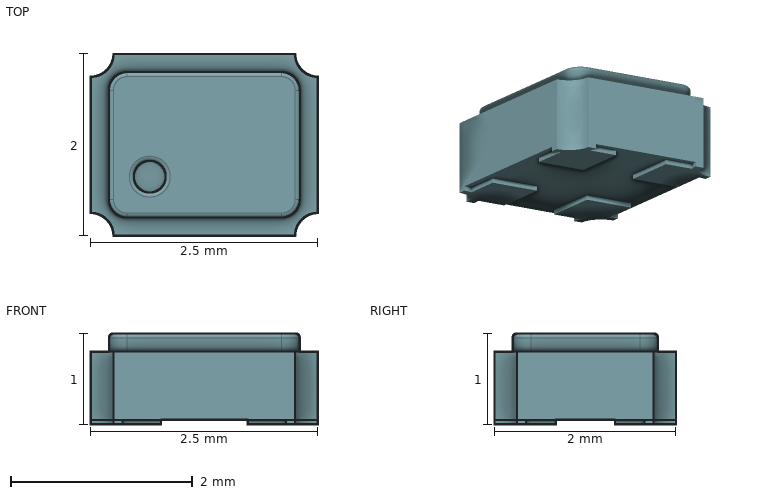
import cadquery as cq

length = 2.5
width = 2.0
height = 1.0

pad_thickness = 0.05
pad_reach_x = 0.775
pad_reach_y = 0.675
pad_rim = 0.1

notch_radius = 0.25
lid_height = 0.2
lid_margin = 0.2
lid_corner_radius = 0.2
lid_edge_radius = 0.05
base_height = height - pad_thickness - lid_height
base_top = pad_thickness + base_height

dimple_x = -0.6
dimple_y = -0.35
dimple_floor_radius = 0.175
dimple_depth = 0.05

corner_signs = [(-1, -1), (1, -1), (1, 1), (-1, 1)]


def corner_cylinder(sign_x, sign_y, radius, z_bottom, cylinder_height):
    """Upright cylinder centred on one corner of the housing rectangle."""
    return (
        cq.Workplane("XY")
        .workplane(offset=z_bottom)
        .center(sign_x * length / 2, sign_y * width / 2)
        .circle(radius)
        .extrude(cylinder_height)
    )


def make_base():
    """Rectangular block with a quarter-round notch down each corner."""
    base = cq.Workplane("XY").workplane(offset=pad_thickness).rect(length, width).extrude(base_height)
    for sign_x, sign_y in corner_signs:
        base = base.cut(corner_cylinder(sign_x, sign_y, notch_radius, pad_thickness, base_height))
    return base


def make_lid():
    """Raised top with round corners and a rounded upper edge."""
    return (
        cq.Workplane("XY")
        .workplane(offset=base_top)
        .rect(length - 2 * lid_margin, width - 2 * lid_margin)
        .extrude(lid_height)
        .edges("|Z")
        .fillet(lid_corner_radius)
        .faces(">Z")
        .edges()
        .fillet(lid_edge_radius)
    )


def make_dimple():
    """Cutter for the dimple: a flat floor whose wall flares out in a convex quarter round."""
    rim_radius = dimple_floor_radius + dimple_depth
    arc_offset = dimple_depth * 0.5 ** 0.5
    profile = (
        cq.Workplane("XZ")
        .moveTo(0, -dimple_depth)
        .lineTo(dimple_floor_radius, -dimple_depth)
        .threePointArc((rim_radius - arc_offset, arc_offset - dimple_depth), (rim_radius, 0))
        .lineTo(0, 0)
        .close()
    )
    return profile.revolve(360, (0, 0), (0, 1)).translate((dimple_x, dimple_y, height))


def make_housing():
    """Base and raised lid in one piece, with the marker dimple."""
    return make_base().union(make_lid()).cut(make_dimple())


def make_pad(sign_x, sign_y):
    """Inset rectangular pad joined to a rim that follows the corner notch."""
    pad_length = pad_reach_x - pad_rim
    pad_width = pad_reach_y - pad_rim
    plate = (
        cq.Workplane("XY")
        .center(
            sign_x * (length / 2 - pad_rim - pad_length / 2),
            sign_y * (width / 2 - pad_rim - pad_width / 2),
        )
        .rect(pad_length, pad_width)
        .extrude(pad_thickness)
    )
    footprint = cq.Workplane("XY").rect(length, width).extrude(pad_thickness)
    rim = corner_cylinder(sign_x, sign_y, notch_radius + pad_rim, 0, pad_thickness).intersect(footprint)
    notch = corner_cylinder(sign_x, sign_y, notch_radius, 0, pad_thickness)
    return plate.union(rim).cut(notch)


housing = make_housing()
pads = [make_pad(sign_x, sign_y) for sign_x, sign_y in corner_signs]

result = cq.Compound.makeCompound([housing.val(), *[pad.val() for pad in pads]])